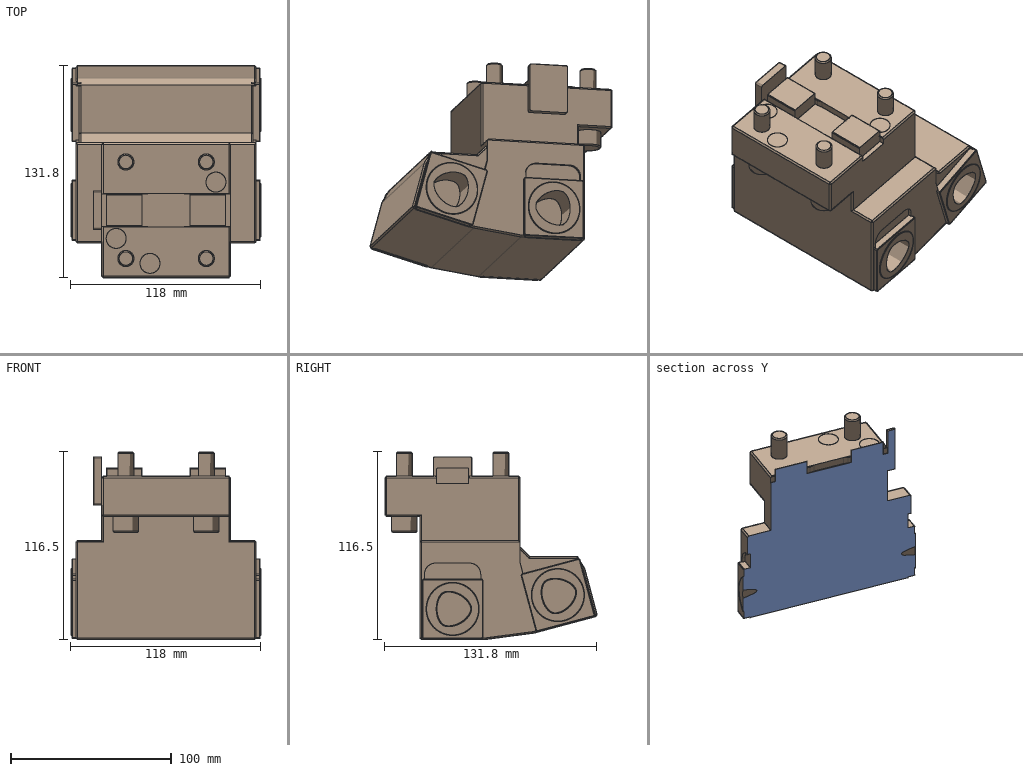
import cadquery as cq
import math


BLOCK_WIDTH = 80.0
BLOCK_HALF_DEPTH = 42.0
FLANGE_THICKNESS = 25.0
EDGE_CHAMFER = 1.0

HOUSING_WIDTH = 112.0
SHOULDER_Z = -40.0
STATION_HALF_DEPTH = 20.41
STATION_FLOOR_OFFSET = 19.0
REAR_DECK_Z = -50.0
DECK_RAMP = 6.0
REAR_FACE_RISE = 11.2
REAR_BEVEL_ANGLE = 60.0
BLOCK_ROOT = 20.0

STATION_Z = -82.5
STATION_PITCH = 66.0
STATION_TILT = 15.0

PLATE_WIDTH = 37.8
PLATE_HEIGHT = 37.0
PLATE_CORNER_CHAMFER = 0.7
PLATE_FACE_X = 58.5
PLATE_CHAMFER = 0.4
RING_DIAMETER = 33.0
RING_FACE_X = 59.0
RING_CHAMFER = 0.3
SOCKET_MEAN_RADIUS = 11.0
SOCKET_ECCENTRICITY = 0.8
SOCKET_DEPTH = 20.0
SOCKET_TAPER_RATIO = 20.0
SOCKET_POINTS = 36

RECESS_WIDTH = 35.0
RECESS_DEPTH = 2.0
RECESS_TOP = 28.5
RECESS_RADIUS = 7.0

KEYWAY_WIDTH = 20.0
KEYWAY_DEPTH = 4.5
KEYWAY_RELIEF = 0.5
RELIEF_LENGTH = 26.0
RELIEF_STRAIGHT = 20.0
KEY_LENGTH = 22.0
KEY_CENTRE_X = 26.0
KEY_TOP_Z = 5.0
KEY_CHAMFER = 0.5
STOP_THICKNESS = 5.0
STOP_WIDTH = 24.0
STOP_TOP_Z = 12.0
STOP_HEIGHT = 30.0
STOP_RADIUS = 1.0

BOLT_SPACING_X = 50.0
BOLT_SPACING_Y = 60.0
BOLT_DIAMETER = 10.0
BOLT_TOP_Z = 15.0
HEAD_DIAMETER = 16.0
HEAD_HEIGHT = 10.0
BOLT_CHAMFER = 0.8
SEAL_DIAMETER = 12.4
SEAL_HEIGHT = 0.1
SEAL_CENTRES = [(31.0, 17.5), (-31.0, -17.5), (-10.0, -33.0)]

SELECT_MARGIN = 0.1

HALF_HOUSING = HOUSING_WIDTH / 2
HALF_BLOCK = BLOCK_WIDTH / 2
HOUSING_FLOOR_Z = STATION_Z - STATION_FLOOR_OFFSET
RECESS_FLOOR_X = HALF_HOUSING - RECESS_DEPTH
TILT = math.radians(STATION_TILT)
REAR_Y = STATION_PITCH * math.cos(TILT / 2)
REAR_Z = STATION_Z + STATION_PITCH * math.sin(TILT / 2)


def rear_point(along, up):
    """(Y, Z) of a point given in the tilted axes of the rear station."""
    y = REAR_Y + along * math.cos(TILT) - up * math.sin(TILT)
    z = REAR_Z + along * math.sin(TILT) + up * math.cos(TILT)
    return y, z


def rear_deck_end():
    """Y where the rear bevel meets the deck."""
    y, z = rear_point(STATION_HALF_DEPTH, REAR_FACE_RISE)
    return y - (REAR_DECK_Z - z) / math.tan(math.radians(REAR_BEVEL_ANGLE))


def to_rear_station(shape):
    """Move a shape from the front station to the rear station."""
    tilted = shape.rotate((0, 0, STATION_Z), (1, 0, STATION_Z), STATION_TILT)
    return tilted.translate((0, REAR_Y, REAR_Z - STATION_Z))


def centred_slab(profile, width):
    """Extrude a closed (Y, Z) outline symmetrically about X = 0."""
    return cq.Workplane("YZ").polyline(profile).close().extrude(width / 2, both=True)


def edge_at(y, z):
    """Selector for the X-parallel edge passing through (y, z)."""
    low = (-HOUSING_WIDTH, y - SELECT_MARGIN, z - SELECT_MARGIN)
    high = (HOUSING_WIDTH, y + SELECT_MARGIN, z + SELECT_MARGIN)
    return cq.selectors.BoxSelector(low, high, boundingbox=False)


def make_housing():
    """Wide lower body; the side edges at the ramp and above it stay sharp."""
    rear_heel = rear_point(STATION_HALF_DEPTH, -STATION_FLOOR_OFFSET)
    bevel_start = rear_point(STATION_HALF_DEPTH, REAR_FACE_RISE)
    rear_top = (BLOCK_HALF_DEPTH, SHOULDER_Z)
    front_top = (-STATION_HALF_DEPTH, SHOULDER_Z)
    front_heel = (-STATION_HALF_DEPTH, HOUSING_FLOOR_Z)
    profile = [
        front_top,
        front_heel,
        (STATION_HALF_DEPTH, HOUSING_FLOOR_Z),
        rear_point(-STATION_HALF_DEPTH, -STATION_FLOOR_OFFSET),
        rear_heel,
        bevel_start,
        (rear_deck_end(), REAR_DECK_Z),
        (BLOCK_HALF_DEPTH + DECK_RAMP, REAR_DECK_Z),
        (BLOCK_HALF_DEPTH, REAR_DECK_Z + DECK_RAMP),
        rear_top,
    ]
    housing = centred_slab(profile, HOUSING_WIDTH)
    cross_edges = edge_at(*front_top) + edge_at(*front_heel) + edge_at(*rear_heel) + edge_at(*rear_top)
    sharp_corner = cq.selectors.BoxSelector(
        (-HOUSING_WIDTH, BLOCK_HALF_DEPTH - EDGE_CHAMFER, REAR_DECK_Z + EDGE_CHAMFER),
        (HOUSING_WIDTH, BLOCK_HALF_DEPTH + DECK_RAMP, SHOULDER_Z - EDGE_CHAMFER),
    )
    outline = housing.faces("<X or >X").edges(cq.selectors.InverseSelector(sharp_corner))
    return outline.add(housing.edges(cross_edges)).chamfer(EDGE_CHAMFER)


def make_block():
    """Narrow mounting block with its front flange, rooted inside the housing."""
    root_z = SHOULDER_Z - BLOCK_ROOT
    rear_top = (BLOCK_HALF_DEPTH, 0)
    front_top = (-BLOCK_HALF_DEPTH, 0)
    flange_toe = (-BLOCK_HALF_DEPTH, -FLANGE_THICKNESS)
    profile = [
        rear_top,
        front_top,
        flange_toe,
        (-STATION_HALF_DEPTH, -FLANGE_THICKNESS),
        (-STATION_HALF_DEPTH, root_z),
        (BLOCK_HALF_DEPTH, root_z),
    ]
    block = centred_slab(profile, BLOCK_WIDTH)
    cross_edges = edge_at(*rear_top) + edge_at(*front_top) + edge_at(*flange_toe)
    outline = block.faces("<X or >X").edges()
    return outline.add(block.edges(cross_edges)).chamfer(EDGE_CHAMFER)


def recess_slab(height, floor_x):
    """Slab reaching equally above and below the front station axis, from floor_x out to the left."""
    start = cq.Workplane("YZ", origin=(floor_x, 0, STATION_Z))
    return start.rect(RECESS_WIDTH, 2 * height).extrude(-2 * RECESS_DEPTH)


def make_front_recess():
    """The front recess has a rounded top above the plate."""
    return recess_slab(RECESS_TOP, -RECESS_FLOOR_X).edges("|X and >Z").fillet(RECESS_RADIUS)


def make_deck_bevel():
    """Space above the deck and its ramp, widening outward at 45 degrees to bevel their side edges."""
    deck_end = rear_deck_end()
    over_block = BLOCK_HALF_DEPTH - DECK_RAMP
    profile = [
        (over_block, REAR_DECK_Z + 2 * DECK_RAMP),
        (BLOCK_HALF_DEPTH + DECK_RAMP, REAR_DECK_Z),
        (deck_end, REAR_DECK_Z),
        (deck_end, REAR_DECK_Z + 2 * DECK_RAMP),
    ]
    start_x = -RECESS_FLOOR_X + EDGE_CHAMFER
    start = cq.Workplane("YZ", origin=(start_x, 0, 0))
    flare = start.polyline(profile).close().extrude(-EDGE_CHAMFER, taper=-45)
    return flare.intersect(to_rear_station(recess_slab(STATION_PITCH, start_x)))


def make_rear_recess():
    """The rear recess runs out through the deck and stops at the block's rear plane."""
    behind_block = cq.Workplane("XY", origin=(0, BLOCK_HALF_DEPTH, STATION_Z)).box(
        2 * HOUSING_WIDTH, STATION_PITCH, STATION_PITCH, centered=(True, False, False)
    )
    below_axis = behind_block.translate((0, 0, -STATION_PITCH))
    pocket = to_rear_station(recess_slab(STATION_PITCH, -RECESS_FLOOR_X))
    return pocket.union(make_deck_bevel()).intersect(behind_block.union(below_axis))


def both_sides(left_shape):
    """A left-side shape together with its mirror image on the right."""
    return left_shape.union(left_shape.mirror("YZ"))


def socket_section(mean_radius):
    """Points of the three-lobed polygon of constant width, one lobe toward +Y."""
    points = []
    for i in range(SOCKET_POINTS):
        angle = 2 * math.pi * i / SOCKET_POINTS
        radial = mean_radius + SOCKET_ECCENTRICITY * math.cos(3 * angle)
        tangential = -3 * SOCKET_ECCENTRICITY * math.sin(3 * angle)
        y = radial * math.cos(angle) - tangential * math.sin(angle)
        z = radial * math.sin(angle) + tangential * math.cos(angle)
        points.append((y, z))
    return points


def make_socket():
    """Blind tapered coupling socket, narrowing toward its floor."""
    floor_radius = SOCKET_MEAN_RADIUS - SOCKET_DEPTH / SOCKET_TAPER_RATIO / 2
    return (
        cq.Workplane("YZ", origin=(-RING_FACE_X, 0, STATION_Z))
        .spline(socket_section(SOCKET_MEAN_RADIUS), periodic=True)
        .close()
        .workplane(offset=SOCKET_DEPTH)
        .spline(socket_section(floor_radius), periodic=True)
        .close()
        .loft(combine=True)
    )


def make_plate():
    """Square coupling plate with its raised contact ring, on the left side."""
    inner_x = -RECESS_FLOOR_X + EDGE_CHAMFER
    base = cq.Workplane("YZ", origin=(inner_x, 0, STATION_Z))
    plate = base.rect(PLATE_WIDTH, PLATE_HEIGHT).extrude(-PLATE_FACE_X - inner_x)
    plate = plate.edges("|X").chamfer(PLATE_CORNER_CHAMFER)
    plate = plate.faces("<X").edges().chamfer(PLATE_CHAMFER)
    ring = base.circle(RING_DIAMETER / 2).extrude(-RING_FACE_X - inner_x)
    return plate.union(ring.faces("<X").edges().chamfer(RING_CHAMFER))


def cut_keyway(body):
    """Keyway along X with bevelled top edges and a slightly wider middle."""
    floor = cq.Workplane("XY", origin=(0, 0, -KEYWAY_DEPTH))
    slot = floor.rect(HOUSING_WIDTH, KEYWAY_WIDTH).extrude(KEYWAY_DEPTH)
    relief_width = KEYWAY_WIDTH + 2 * KEYWAY_RELIEF
    relief_profile = [
        (RELIEF_LENGTH / 2, KEYWAY_WIDTH / 2),
        (RELIEF_STRAIGHT / 2, relief_width / 2),
        (-RELIEF_STRAIGHT / 2, relief_width / 2),
        (-RELIEF_LENGTH / 2, KEYWAY_WIDTH / 2),
        (-RELIEF_LENGTH / 2, -KEYWAY_WIDTH / 2),
        (-RELIEF_STRAIGHT / 2, -relief_width / 2),
        (RELIEF_STRAIGHT / 2, -relief_width / 2),
        (RELIEF_LENGTH / 2, -KEYWAY_WIDTH / 2),
    ]
    relief = floor.polyline(relief_profile).close().extrude(KEYWAY_DEPTH)
    lead_in = (
        cq.Workplane("XY")
        .rect(HOUSING_WIDTH, relief_width)
        .workplane(offset=-KEYWAY_RELIEF)
        .rect(HOUSING_WIDTH, KEYWAY_WIDTH)
        .loft(combine=True)
    )
    return body.cut(slot).cut(relief).cut(lead_in)


def make_keys():
    """Two drive keys standing in the keyway."""
    keys = (
        cq.Workplane("XY", origin=(0, 0, -KEYWAY_DEPTH))
        .pushPoints([(-KEY_CENTRE_X, 0), (KEY_CENTRE_X, 0)])
        .rect(KEY_LENGTH, KEYWAY_WIDTH)
        .extrude(KEY_TOP_Z + KEYWAY_DEPTH)
    )
    return keys.edges("|X and >Z").chamfer(KEY_CHAMFER)


def make_side_stop():
    """Upright plate over the left end of the keyway."""
    centre_z = STOP_TOP_Z - STOP_HEIGHT / 2
    return (
        cq.Workplane("YZ", origin=(-HALF_BLOCK, 0, centre_z))
        .rect(STOP_WIDTH, STOP_HEIGHT)
        .extrude(-STOP_THICKNESS)
        .edges("|X")
        .fillet(STOP_RADIUS)
    )


def make_bolts():
    """Four studs through the mounting face; the front pair shows its heads below the flange."""
    studs = (
        cq.Workplane("XY", origin=(0, 0, -FLANGE_THICKNESS))
        .rarray(BOLT_SPACING_X, BOLT_SPACING_Y, 2, 2)
        .circle(BOLT_DIAMETER / 2)
        .extrude(BOLT_TOP_Z + FLANGE_THICKNESS)
        .faces(">Z")
        .edges()
        .chamfer(BOLT_CHAMFER)
    )
    heads = (
        cq.Workplane("XY", origin=(0, -BOLT_SPACING_Y / 2, -FLANGE_THICKNESS))
        .rarray(BOLT_SPACING_X, 1, 2, 1)
        .circle(HEAD_DIAMETER / 2)
        .extrude(-HEAD_HEIGHT)
        .faces("<Z")
        .edges()
        .chamfer(BOLT_CHAMFER)
    )
    return studs.union(heads)


def make_seals():
    """Port seals standing just proud of the mounting face."""
    return cq.Workplane("XY").pushPoints(SEAL_CENTRES).circle(SEAL_DIAMETER / 2).extrude(SEAL_HEIGHT)


body = make_housing()
body = body.cut(both_sides(make_front_recess()))
body = body.cut(both_sides(make_rear_recess()))
body = cut_keyway(body.union(make_block()))

plate = make_plate()
socket = make_socket()
body = body.union(both_sides(plate)).union(both_sides(to_rear_station(plate)))
body = body.cut(both_sides(socket)).cut(both_sides(to_rear_station(socket)))

result = body.union(make_keys()).union(make_side_stop()).union(make_bolts()).union(make_seals())